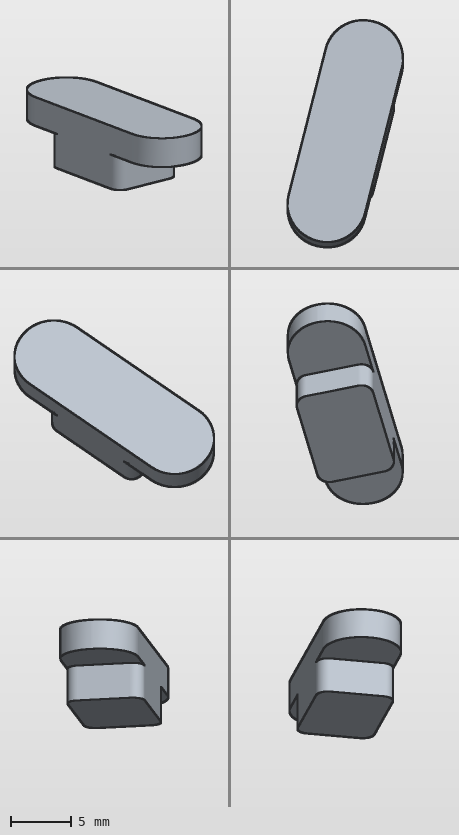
import cadquery as cq

length = 19.0
width = 6.5
height = 5.5

head_thickness = 2.5
head_corner_radius = 3.2

stem_length = 9.0
stem_corner_radius = 1.0
stem_height = height - head_thickness


def rounded_block(block_length, block_height, corner_radius, bottom):
    """Block of the full width, centred in X and Y, with rounded vertical edges."""
    return (
        cq.Workplane("XY", origin=(0, 0, bottom))
        .rect(block_length, width)
        .extrude(block_height)
        .edges("|Z")
        .fillet(corner_radius)
    )


stem = rounded_block(stem_length, stem_height, stem_corner_radius, 0)
head = rounded_block(length, head_thickness, head_corner_radius, stem_height)

result = head.union(stem)